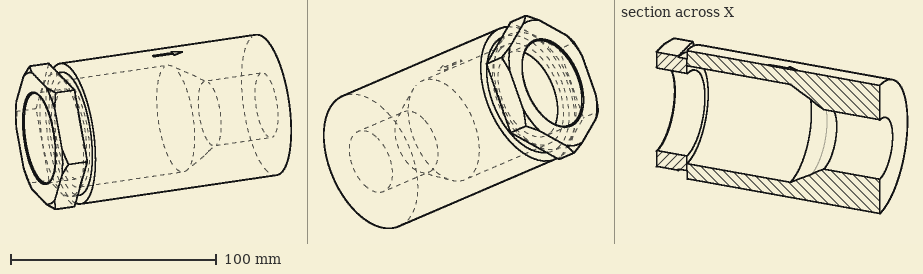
import cadquery as cq
import math

total_length = 117.9

across_flats = 61.5
across_corners = across_flats / math.cos(math.radians(30))
head_length = 11.7
neck_diameter = 60.3
nut_length = 16.3
bore_diameter = 44.1
bore_chamfer = 0.6
corner_chamfer_diameter = 64.6
corner_chamfer_length = 1.9

housing_diameter = 69.1
cavity_diameter = 52.3
cavity_end = 70.7
seat_diameter = 40.3
seat_end = 81.3
outlet_diameter = 31.7
throat_length = 7.1
throat_bulge = 0.2

arrow_tip_y = 74.4
arrow_head_length = 5.1
arrow_head_width = 4.6
arrow_length = 15.1
arrow_shaft_width = 1.2
arrow_depth = 0.1


def cylinder(diameter, start, end):
    """Round bar along Y between two positions."""
    return cq.Workplane("XZ", origin=(0, start, 0)).circle(diameter / 2).extrude(start - end)


def revolve_about_y(profile):
    """Full revolution of an XY profile about the Y axis."""
    return profile.close().revolve(360, (0, 0, 0), (0, 1, 0))


def make_nut():
    head = cq.Workplane("XZ").polygon(6, across_corners).extrude(-head_length)
    envelope = revolve_about_y(
        cq.Workplane("XY")
        .lineTo(corner_chamfer_diameter / 2, 0)
        .lineTo(across_corners / 2, corner_chamfer_length)
        .lineTo(across_corners / 2, head_length)
        .lineTo(0, head_length)
    )
    neck = cylinder(neck_diameter, head_length, nut_length)
    bore_radius = bore_diameter / 2
    bore = revolve_about_y(
        cq.Workplane("XY")
        .lineTo(bore_radius + bore_chamfer, 0)
        .lineTo(bore_radius, bore_chamfer)
        .lineTo(bore_radius, nut_length)
        .lineTo(0, nut_length)
    )
    return head.intersect(envelope).union(neck).cut(bore)


def make_cavity():
    """Cavity, tapered seat, curved throat and outlet as one revolved void."""
    seat_radius = seat_diameter / 2
    outlet_radius = outlet_diameter / 2
    throat_end = seat_end + throat_length
    chord_length = math.hypot(throat_length, seat_radius - outlet_radius)
    throat_middle = (
        (seat_radius + outlet_radius) / 2 - throat_bulge * throat_length / chord_length,
        (seat_end + throat_end) / 2 - throat_bulge * (seat_radius - outlet_radius) / chord_length,
    )
    return revolve_about_y(
        cq.Workplane("XY")
        .moveTo(0, nut_length)
        .lineTo(cavity_diameter / 2, nut_length)
        .lineTo(cavity_diameter / 2, cavity_end)
        .lineTo(seat_radius, seat_end)
        .threePointArc(throat_middle, (outlet_radius, throat_end))
        .lineTo(outlet_radius, total_length)
        .lineTo(0, total_length)
    )


def make_arrow():
    """Arrow-shaped shell just under the top of the housing surface."""
    head_base_y = arrow_tip_y - arrow_head_length
    tail_y = arrow_tip_y - arrow_length
    arrow = (
        cq.Workplane("XY")
        .polyline([
            (0, arrow_tip_y),
            (arrow_head_width / 2, head_base_y),
            (arrow_shaft_width / 2, head_base_y),
            (arrow_shaft_width / 2, tail_y),
            (-arrow_shaft_width / 2, tail_y),
            (-arrow_shaft_width / 2, head_base_y),
            (-arrow_head_width / 2, head_base_y),
        ])
        .close()
        .extrude(housing_diameter)
    )
    return arrow.cut(cylinder(housing_diameter - 2 * arrow_depth, nut_length, total_length))


def make_housing():
    outer = cylinder(housing_diameter, nut_length, total_length)
    return outer.cut(make_cavity()).cut(make_arrow())


nut = make_nut()
housing = make_housing()

result = cq.Compound.makeCompound([nut.val(), housing.val()])